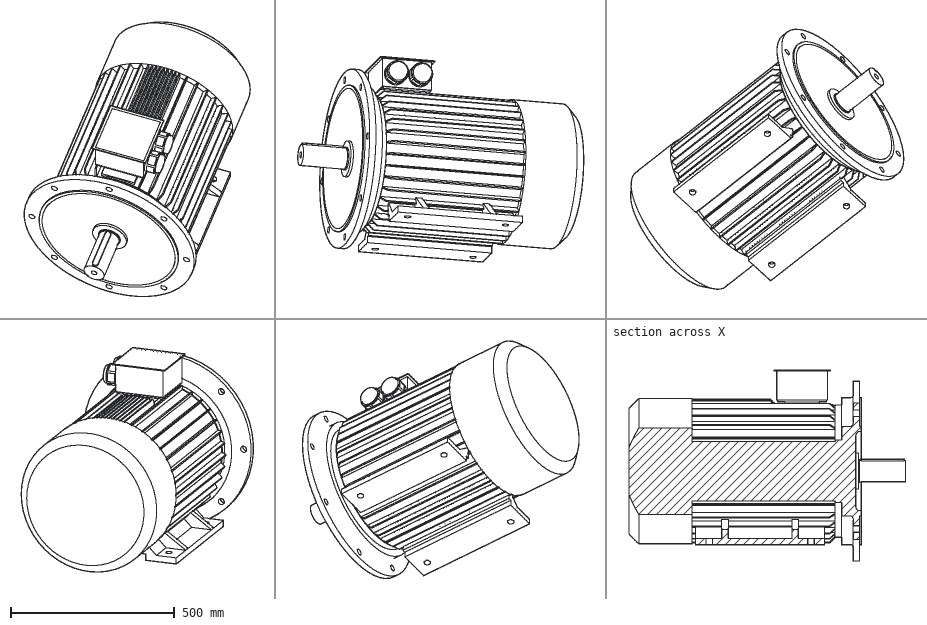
import math

import cadquery as cq


flange_diameter = 550.0
flange_thickness = 20.0
spigot_diameter = 450.0
spigot_height = 5.0
shield_end_y = 55.0
shield_fillet = 8.0
bolt_circle_diameter = 500.0
bolt_count = 8
bolt_hole_diameter = 19.0
recess_diameter = 430.0
recess_floor_y = 12.0
recess_fillet = 10.0
bearing_boss_diameter = 110.0
bearing_boss_height = 8.0
neck_diameter = 405.0

shaft_diameter = 65.0
shaft_length = 140.0
collar_diameter = 70.0
key_width = 18.0
key_length = 135.0
key_end_gap = 2.5
key_top_z = 36.5
centre_hole_diameter = 17.29
centre_hole_depth = 42.0
drill_point_angle = 118.0

frame_start_y = 75.0
frame_end_y = 512.0
core_diameter = 400.0
fin_tip_diameter = 440.0
fin_thickness = 4.0
fin_root_overlap = 10.0
fin_end_bevel = 17.0
fin_step_angle = 10.0
fin_gap_half_angle = 10.0
top_fin_count = 9
top_fin_pitch = 12.5
top_fin_start_y = 273.0
top_fin_root_z = 190.0

cowl_diameter = 445.0
cowl_end_y = 705.0
cowl_bevel = 30.0

foot_width = 437.0
foot_plate_length = 395.0
foot_base_z = -225.0
foot_plate_thickness = 20.0
foot_inner_x = 118.0
foot_web_x = 153.5
foot_web_rise = 46.0
foot_hole_spacing_x = 356.0
foot_hole_spacing_y = 311.0
foot_hole_first_y = 149.0
foot_hole_diameter = 19.0
foot_rib_thickness = 20.0
foot_rib_spacing = 214.0
foot_rib_slope = 0.68
foot_rib_inner_x = 125.0
foot_center_y = foot_hole_first_y + foot_hole_spacing_y / 2

box_center_y = 176.0
box_size = 156.0
box_bottom_z = 217.0
lid_size = 172.0
lid_top_z = 309.0
lid_thickness = 3.0
gasket_size = 149.0
gasket_bottom_z = 211.5
pedestal_size = 106.0
pad_start_y = 82.0
pad_end_y = 262.0
pad_top_z = 203.0
pad_bottom_z = 180.0

gland_spacing = 77.0
gland_z = 258.0
gland_diameter = 67.0
gland_hex_across_flats = 61.0
gland_hex_start_x = 84.5
gland_collar_start_x = 108.0
gland_nut_start_x = 112.0
gland_nut_diameter = 57.49
gland_end_x = 124.5
gland_nut_fillet = 5.0


def box_between(x0, x1, y0, y1, z0, z1):
    """Axis-aligned block given by its limits."""
    block = cq.Workplane("XY").box(x1 - x0, y1 - y0, z1 - z0, centered=False)
    return block.translate((x0, y0, z0))


def square_block(size, z0, z1):
    """Square block of the terminal box stack, centred over the box position."""
    half = size / 2
    return box_between(-half, half, box_center_y - half, box_center_y + half, z0, z1)


def axial_cylinder(diameter, y0, y1):
    """Cylinder on the motor axis between two Y positions."""
    plane = cq.Workplane("XZ", origin=(0, y1, 0))
    return plane.circle(diameter / 2).extrude(y1 - y0)


def make_body():
    """Flange, end shield, frame core and fan cowl as one turned profile."""
    flange_r = flange_diameter / 2
    spigot_r = spigot_diameter / 2
    neck_r = neck_diameter / 2
    core_r = core_diameter / 2
    cowl_r = cowl_diameter / 2
    fillet_middle = shield_fillet * (1 - math.sqrt(0.5))
    profile = (
        cq.Workplane("XY")
        .moveTo(0, -spigot_height)
        .lineTo(spigot_r, -spigot_height)
        .lineTo(spigot_r, 0)
        .lineTo(flange_r, 0)
        .lineTo(flange_r, flange_thickness)
        .lineTo(spigot_r + shield_fillet, flange_thickness)
        .threePointArc(
            (spigot_r + fillet_middle, flange_thickness + fillet_middle),
            (spigot_r, flange_thickness + shield_fillet),
        )
        .lineTo(spigot_r, shield_end_y)
        .lineTo(neck_r, shield_end_y)
        .lineTo(neck_r, frame_start_y)
        .lineTo(core_r, frame_start_y)
        .lineTo(core_r, frame_end_y)
        .lineTo(cowl_r, frame_end_y)
        .lineTo(cowl_r, cowl_end_y - cowl_bevel)
        .lineTo(cowl_r - cowl_bevel, cowl_end_y)
        .lineTo(0, cowl_end_y)
        .close()
    )
    return profile.revolve(360, (0, 0, 0), (0, 1, 0))


def make_recess():
    """Front recess with a rounded floor edge."""
    recess = axial_cylinder(recess_diameter, -spigot_height, recess_floor_y)
    return recess.faces(">Y").edges().fillet(recess_fillet)


def make_bolt_holes():
    """Flange holes, one of them at the top."""
    holes = cq.Workplane("XZ", origin=(0, flange_thickness, 0))
    holes = holes.polarArray(bolt_circle_diameter / 2, 0, 360, bolt_count)
    return holes.circle(bolt_hole_diameter / 2).extrude(flange_thickness)


def make_shaft():
    """Shaft with bearing boss, collar, raised key and drilled end."""
    boss_front_y = recess_floor_y - bearing_boss_height
    boss = axial_cylinder(bearing_boss_diameter, boss_front_y, recess_floor_y)
    collar = axial_cylinder(collar_diameter, 0, recess_floor_y)
    shaft = axial_cylinder(shaft_diameter, -shaft_length, recess_floor_y)
    key_center_y = -shaft_length + key_end_gap + key_length / 2
    key = cq.Workplane("XY").center(0, key_center_y)
    key = key.slot2D(key_length, key_width, 90).extrude(key_top_z)

    hole_r = centre_hole_diameter / 2
    hole_end_y = -shaft_length + centre_hole_depth
    point_length = hole_r / math.tan(math.radians(drill_point_angle / 2))
    hole = (
        cq.Workplane("XY")
        .moveTo(0, -shaft_length)
        .lineTo(hole_r, -shaft_length)
        .lineTo(hole_r, hole_end_y)
        .lineTo(0, hole_end_y + point_length)
        .close()
        .revolve(360, (0, 0, 0), (0, 1, 0))
    )
    return boss.union(collar).union(shaft).union(key).cut(hole)


def make_radial_fin(angle):
    """One full-length radial fin, turned from the top by an angle in degrees."""
    root_r = core_diameter / 2 - fin_root_overlap
    tip_r = fin_tip_diameter / 2
    outline = [
        (frame_start_y, root_r),
        (frame_start_y, tip_r - fin_end_bevel),
        (frame_start_y + fin_end_bevel, tip_r),
        (frame_end_y, tip_r),
        (frame_end_y, root_r),
    ]
    fin = cq.Workplane("YZ").polyline(outline).close().extrude(fin_thickness / 2, both=True)
    return fin.rotate((0, 0, 0), (0, 1, 0), angle)


def make_top_fin(x):
    """One upright fin behind the terminal box; its top follows the fin tip circle."""
    tip_z = math.sqrt((fin_tip_diameter / 2) ** 2 - x**2)
    outline = [
        (top_fin_start_y, tip_z),
        (frame_end_y, tip_z),
        (frame_end_y, top_fin_root_z),
        (top_fin_start_y - (tip_z - top_fin_root_z), top_fin_root_z),
    ]
    fin = cq.Workplane("YZ").polyline(outline).close().extrude(fin_thickness / 2, both=True)
    return fin.translate((x, 0, 0))


def make_foot():
    """Foot on the +X side: plate with a sloping web, two ribs and two holes."""
    outer_x = foot_width / 2
    plate_top_z = foot_base_z + foot_plate_thickness
    start_y = foot_center_y - foot_plate_length / 2
    web_top = (foot_web_x - foot_web_rise, plate_top_z + foot_web_rise)
    outline = [
        (foot_inner_x, foot_base_z),
        (outer_x, foot_base_z),
        (outer_x, plate_top_z),
        (foot_web_x, plate_top_z),
        web_top,
        (web_top[0], plate_top_z),
        (foot_inner_x, plate_top_z),
    ]
    section = cq.Workplane("XZ", origin=(0, start_y + foot_plate_length, 0))
    foot = section.polyline(outline).close().extrude(foot_plate_length)

    rib_top_z = plate_top_z + foot_rib_slope * (outer_x - foot_rib_inner_x)
    rib_outline = [
        (outer_x, plate_top_z),
        (foot_rib_inner_x, rib_top_z),
        (foot_rib_inner_x, plate_top_z),
    ]
    for side in (-1, 1):
        rib_y = foot_center_y + side * foot_rib_spacing / 2
        rib_plane = cq.Workplane("XZ", origin=(0, rib_y, 0))
        rib = rib_plane.polyline(rib_outline).close().extrude(foot_rib_thickness / 2, both=True)
        foot = foot.union(rib)

        hole_y = foot_center_y + side * foot_hole_spacing_y / 2
        hole_plane = cq.Workplane("XY", origin=(foot_hole_spacing_x / 2, hole_y, foot_base_z))
        foot = foot.cut(hole_plane.circle(foot_hole_diameter / 2).extrude(foot_plate_thickness))
    return foot


def make_terminal_box():
    """Pad on the frame, pedestal, gasket, box and overhanging lid."""
    half_pad = pedestal_size / 2
    lid_bottom_z = lid_top_z - lid_thickness
    pad = box_between(-half_pad, half_pad, pad_start_y, pad_end_y, pad_bottom_z, pad_top_z)
    pedestal = square_block(pedestal_size, pad_bottom_z, gasket_bottom_z)
    gasket = square_block(gasket_size, gasket_bottom_z, box_bottom_z)
    box = square_block(box_size, box_bottom_z, lid_bottom_z)
    lid = square_block(lid_size, lid_bottom_z, lid_top_z)
    return pad.union(pedestal).union(gasket).union(box).union(lid)


def make_gland(y):
    """Cable gland on the +X wall: base, hexagon with rounded corners, collar and nut."""

    def section(x0):
        return cq.Workplane("YZ", origin=(x0, y, gland_z))

    wall_x = box_size / 2
    hex_length = gland_collar_start_x - gland_hex_start_x
    corner_diameter = gland_hex_across_flats / math.cos(math.pi / 6)
    base = section(wall_x).circle(gland_diameter / 2).extrude(gland_hex_start_x - wall_x)
    hexagon = section(gland_hex_start_x).polygon(6, corner_diameter).extrude(hex_length)
    hexagon = hexagon.rotate((0, y, gland_z), (1, y, gland_z), 90)
    hexagon = hexagon.intersect(section(gland_hex_start_x).circle(gland_diameter / 2).extrude(hex_length))
    collar_length = gland_nut_start_x - gland_collar_start_x
    collar = section(gland_collar_start_x).circle(gland_diameter / 2).extrude(collar_length)
    nut = section(gland_nut_start_x).circle(gland_nut_diameter / 2).extrude(gland_end_x - gland_nut_start_x)
    nut = nut.faces(">X").edges().fillet(gland_nut_fillet)
    return base.union(hexagon).union(collar).union(nut)


motor = make_body().cut(make_recess()).cut(make_bolt_holes()).union(make_shaft())

fin_positions = round(360 / fin_step_angle)
for index in range(fin_positions):
    fin_angle = index * fin_step_angle
    angle_from_top = min(fin_angle, 360 - fin_angle)
    if angle_from_top > fin_gap_half_angle:
        motor = motor.union(make_radial_fin(fin_angle))

for index in range(top_fin_count):
    fin_x = (index - (top_fin_count - 1) / 2) * top_fin_pitch
    motor = motor.union(make_top_fin(fin_x))

right_foot = make_foot()
motor = motor.union(right_foot).union(right_foot.mirror("YZ"))

motor = motor.union(make_terminal_box())
for side in (-1, 1):
    motor = motor.union(make_gland(box_center_y + side * gland_spacing / 2))

result = motor